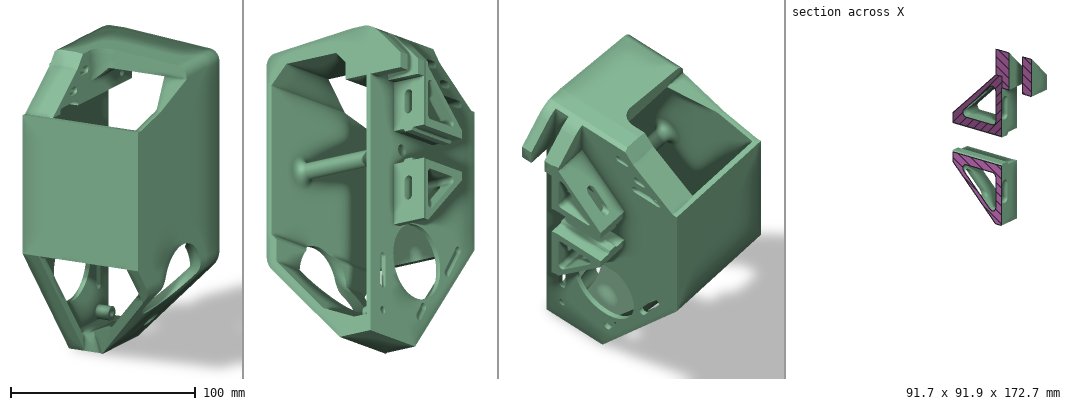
import cadquery as cq
import math


depth = 91.9
height = 172.7
right_x = 71.2
hook_reach = 20.5
plate_thickness = 2.8
overshoot = 1.7

foot_y = -39.5
front_wall_bottom = 66.7
front_wall_top = 144.7
brow_y, brow_z = -61.1, 165.3
roof_corner_y = -54.8
shoulder_y = -89.1

front_wall_thickness = 3.3
upper_flange_x = 17.1
lower_flange_x = 9.7
lower_flange_width = 5.5
roof_underside = 160.8
roof_edge_y = -37.1
roof_corner_radius = 9.7
right_wall_inner_x = 67.9
lower_wall_inner_x = 64.3
lower_corner_radius = 12.1
upper_corner_radius = 6.2
roof_fold_x = 12.3
roof_end_z = 167.7
roof_chamfer = 6.2
right_wall_chamfer = 10.4
right_wall_fold_y, right_wall_fold_z = -66.2, 150.0

floor_toe_x = 21.0
floor_thickness = 9.7
floor_flat_end_x = 11.0
bend_x, bend_z = 32.1, 18.3
floor_top_z = bend_z + lower_wall_inner_x - bend_x
floor_bend = (bend_x, -52.0, bend_z)
floor_edge_top = (lower_wall_inner_x, -75.5, floor_top_z)
floor_edge_lean = (1, 0, -1)
toe_edge_start = (15.0, foot_y, 12.0)
toe_edge_lean = (2.4, 0, -6.9)

big_hole_diameter = 41.5
big_hole_y, big_hole_z = -41.0, 48.2
post_diameter = 9.0
post_flare = 4.8
post_hole_diameter = 6.5
post_y, post_z = -27.8, 108.0
screw_diameter = 4.1
screw_y = -11.0
lower_screw_z, upper_screw_z = 14.0, 150.6
screw_boss_diameter = 8.0
screw_boss_end_x = 10.9
slot_width = 4.3
slot_ends = [
    ((-51.1, 162.7), (-56.0, 162.7)),
    ((-63.7, 154.0), (-67.5, 154.0)),
    ((-62.7, 145.6), (-78.5, 145.6)),
    ((-11.2, 44.4), (-11.2, 28.8)),
    ((-77.4, 63.0), (-67.7, 48.2)),
    ((-47.0, 24.2), (-42.8, 17.8)),
]

bracket_back_y, bracket_front_y = -20.9, -55.0
bracket_setback = 0.5
bracket_lip_width = 2.5
bracket_base_gap = 9.3
bracket_base_z = post_z + bracket_base_gap
bracket_base_height = 4.8
bracket_height = 34.0
bracket_wall = 4.3
bracket_base_wall = 4.7
bracket_slope_wall = 3.0
pocket_radius = 2.2
ridge_x = -9.8
ridge_height = 1.5
ridge_base_width, ridge_top_width = 6.5, 4.5
bracket_slot_width, bracket_slot_length = 5.2, 13.5
bracket_slot_height = 15.0

hook_ranges = [(-6.5, 0.0), (bracket_back_y - bracket_wall, -15.7)]
hook_bottom = 144.7
hook_slope_start = 153.4
hook_arc_x, hook_arc_z = -6.4, 167.4


def prism_along_x(points, x_from, x_to):
    """Solid with a (Y, Z) outline, running from x_from to x_to."""
    return cq.Workplane("YZ", origin=(x_from, 0, 0)).polyline(points).close().extrude(x_to - x_from)


def rod_along_x(diameter, y, z, x_from, x_to):
    """Round rod along X."""
    return cq.Workplane("YZ", origin=(x_from, y, z)).circle(diameter / 2).extrude(x_to - x_from)


def block(x_from, x_to, y_from, y_to, z_from, z_to):
    """Box between the given limits."""
    shape = cq.Workplane("XY").box(x_to - x_from, y_to - y_from, z_to - z_from, centered=False)
    return shape.translate((x_from, y_from, z_from))


def side_slots():
    """Cutters for the slots through the plate and the flanges behind it."""
    cutters = cq.Workplane("YZ")
    for (y1, z1), (y2, z2) in slot_ends:
        length = math.hypot(y2 - y1, z2 - z1) + slot_width
        angle = math.degrees(math.atan2(z2 - z1, y2 - y1))
        slot = (
            cq.Workplane("YZ", origin=(-overshoot, (y1 + y2) / 2, (z1 + z2) / 2))
            .slot2D(length, slot_width, angle)
            .extrude(upper_flange_x + 2 * overshoot)
        )
        cutters = cutters.add(slot)
    return cutters.combine()


side_outline = [
    (0, 0),
    (foot_y, 0),
    (-depth, front_wall_bottom),
    (-depth, front_wall_top),
    (shoulder_y, front_wall_top),
    (brow_y, brow_z),
    (roof_corner_y, height),
    (0, height),
]

big_hole = rod_along_x(big_hole_diameter, big_hole_y, big_hole_z, -overshoot, right_x + overshoot)
upper_screw_hole = rod_along_x(screw_diameter, screw_y, upper_screw_z, -overshoot, upper_flange_x + overshoot)


def lip_relief():
    """Cutter that sets the outer faces in front of the bracket lip slightly back."""
    outline = [
        (-hook_reach, bracket_back_y),
        (bracket_setback - hook_reach, bracket_back_y - bracket_lip_width),
        (bracket_setback - hook_reach, -depth),
        (-hook_reach, -depth),
    ]
    return cq.Workplane("XY").polyline(outline).close().extrude(height)


def make_bracket_blank():
    """Upper bracket as a full triangular block with its lip, before the pocket and slot."""
    profile = [
        (bracket_back_y, bracket_base_z),
        (bracket_front_y, bracket_base_z),
        (bracket_front_y, bracket_base_z + bracket_base_height),
        (bracket_back_y - bracket_wall, bracket_base_z + bracket_height),
        (bracket_back_y, bracket_base_z + bracket_height),
    ]
    return prism_along_x(profile, -hook_reach, 0).cut(lip_relief())


def make_bracket():
    """Upper bracket: triangular pocket open along X, slot along Y and a ridge under the base."""
    back = bracket_back_y - bracket_wall
    floor = bracket_base_z + bracket_base_wall
    rise = (bracket_height - bracket_base_height) / (back - bracket_front_y)
    slope_drop = bracket_slope_wall * math.hypot(1, rise)
    pocket_top = bracket_base_z + bracket_height - slope_drop
    pocket_front = back - (pocket_top - floor) / rise
    pocket = prism_along_x([(back, floor), (pocket_front, floor), (back, pocket_top)], -hook_reach, 0)
    pocket = pocket.edges("|X").fillet(pocket_radius)

    slot = (
        cq.Workplane("XZ", origin=(ridge_x, 0, bracket_base_z + bracket_slot_height))
        .slot2D(bracket_slot_length, bracket_slot_width, 90)
        .extrude(depth)
    )
    ridge_outline = [
        (ridge_x - ridge_base_width / 2, bracket_base_z),
        (ridge_x - ridge_top_width / 2, bracket_base_z - ridge_height),
        (ridge_x + ridge_top_width / 2, bracket_base_z - ridge_height),
        (ridge_x + ridge_base_width / 2, bracket_base_z),
    ]
    ridge = (
        cq.Workplane("XZ", origin=(0, bracket_back_y, 0))
        .polyline(ridge_outline)
        .close()
        .extrude(bracket_back_y - bracket_front_y)
    )
    return make_bracket_blank().cut(pocket).cut(slot).union(ridge)


def make_plate():
    """Side plate with two hooks, a rounded top edge and the boss of the lower screw."""
    hook_section = (
        cq.Workplane("XZ")
        .moveTo(plate_thickness, 0)
        .lineTo(-hook_reach, 0)
        .lineTo(-hook_reach, hook_slope_start)
        .lineTo(hook_arc_x, hook_arc_z)
        .tangentArcPoint((plate_thickness, height), relative=False)
        .close()
        .extrude(depth)
    )
    plate = prism_along_x(side_outline, 0, plate_thickness)
    for y_from, y_to in hook_ranges:
        plate = plate.union(block(-hook_reach, plate_thickness, y_from, y_to, hook_bottom, height))
    plate = plate.intersect(hook_section).cut(lip_relief()).cut(make_bracket_blank())

    boss = rod_along_x(screw_boss_diameter, screw_y, lower_screw_z, plate_thickness, screw_boss_end_x)
    screw_hole = rod_along_x(screw_diameter, screw_y, lower_screw_z, -overshoot, screw_boss_end_x + overshoot)
    post_hole = rod_along_x(post_hole_diameter, post_y, post_z, -overshoot, plate_thickness)
    plate = plate.union(boss).cut(screw_hole).cut(post_hole).cut(upper_screw_hole)
    return plate.cut(big_hole).cut(side_slots())


def housing_block():
    """Outer shape of the housing: its X-Z section over the full depth."""
    floor_corner_z = right_x - floor_toe_x
    section = [
        (plate_thickness, 0),
        (floor_toe_x, 0),
        (right_x, floor_corner_z),
        (right_x, roof_end_z),
        (roof_fold_x, height),
        (plate_thickness, height),
    ]
    shape = cq.Workplane("XZ").polyline(section).close().extrude(depth)
    lower_corner = cq.NearestToPointSelector((right_x, -depth / 2, floor_corner_z))
    upper_corner = cq.NearestToPointSelector((right_x, -depth / 2, roof_end_z))
    shape = shape.edges(lower_corner).fillet(lower_corner_radius)
    return shape.edges(upper_corner).fillet(upper_corner_radius)


def housing_cavity():
    """Inside of the housing, open at the back and closed by the front wall."""
    wall_step = right_wall_inner_x - lower_wall_inner_x
    section = [
        (plate_thickness, floor_thickness),
        (floor_flat_end_x, floor_thickness),
        (bend_x, bend_z),
        (lower_wall_inner_x, floor_top_z),
        (lower_wall_inner_x, front_wall_bottom - wall_step),
        (right_wall_inner_x, front_wall_bottom),
        (right_wall_inner_x, roof_underside - right_wall_chamfer),
        (right_wall_inner_x - right_wall_chamfer, roof_underside),
        (upper_flange_x + roof_chamfer, roof_underside),
        (upper_flange_x, roof_underside - roof_chamfer),
        (upper_flange_x, front_wall_top),
        (plate_thickness, front_wall_top),
    ]
    return cq.Workplane("XZ").polyline(section).close().extrude(depth - front_wall_thickness)


def roof_opening():
    """Cutter in front of the roof, between the upper flange and the right wall."""
    opening = block(
        upper_flange_x,
        right_wall_inner_x - right_wall_chamfer,
        -depth - overshoot,
        roof_edge_y,
        front_wall_top,
        height + overshoot,
    )
    return opening.edges("|Z and <X and >Y").fillet(roof_corner_radius)


def right_wall_slope():
    """Cutter that slopes the top of the right wall from the roof down to the front wall."""
    outline = [
        (roof_edge_y, height + overshoot),
        (roof_edge_y, roof_underside),
        (right_wall_fold_y, right_wall_fold_z),
        (front_wall_thickness - depth, front_wall_top),
        (-depth - overshoot, front_wall_top),
        (-depth - overshoot, height + overshoot),
    ]
    return prism_along_x(outline, right_wall_inner_x - right_wall_chamfer, right_x + overshoot)


def half_space(start, end, lean):
    """Large solid in front of the plane through the edge from start to end that runs along lean."""
    plane = cq.Plane(origin=start, xDir=(0, -1, 0), normal=lean)
    along = plane.toLocalCoords(cq.Vector(*end)).normalized() * height
    outline = [
        (-along.x, -along.y),
        (along.x, along.y),
        (along.x + height, along.y),
        (height - along.x, -along.y),
    ]
    return cq.Workplane(plane).polyline(outline).close().extrude(height, both=True)


def floor_opening():
    """Cutter below the front wall that leaves the floor with its two slanting front edges."""
    opening = block(
        lower_flange_x, lower_wall_inner_x, -depth - overshoot, foot_y, -overshoot, front_wall_bottom
    )
    floor_edge = half_space(floor_bend, floor_edge_top, floor_edge_lean)
    toe_edge = half_space(toe_edge_start, floor_bend, toe_edge_lean)
    return opening.intersect(floor_edge.union(toe_edge))


def make_post():
    """Post from the plate to the right wall, flared where it meets the wall."""
    radius = post_diameter / 2
    return (
        cq.Workplane("XY")
        .moveTo(plate_thickness, 0)
        .lineTo(plate_thickness, radius)
        .lineTo(right_wall_inner_x - post_flare, radius)
        .tangentArcPoint((right_wall_inner_x, radius + post_flare), relative=False)
        .lineTo(right_wall_inner_x, 0)
        .close()
        .revolve(360, (0, 0, 0), (1, 0, 0))
        .translate((0, post_y, post_z))
    )


def make_housing():
    """Housing: roof, right wall, front wall, floor and flanges, with the post inside."""
    housing = housing_block().cut(housing_cavity())
    flange_outline = [
        (foot_y, 0),
        (-depth, front_wall_bottom),
        (-depth + lower_flange_width, front_wall_bottom),
        (foot_y + lower_flange_width, 0),
    ]
    flange = prism_along_x(flange_outline, plate_thickness, lower_flange_x)
    housing = housing.union(flange).cut(roof_opening()).cut(right_wall_slope()).cut(floor_opening())

    slant = [(foot_y, 0), (-depth, front_wall_bottom), (-depth, 0)]
    housing = housing.cut(prism_along_x(slant, plate_thickness, lower_flange_x))
    housing = housing.cut(prism_along_x(slant, lower_wall_inner_x, right_x + overshoot))

    brow = side_outline[3:7] + [(-depth, height)]
    housing = housing.cut(prism_along_x(brow, plate_thickness, upper_flange_x))

    access = rod_along_x(screw_boss_diameter, screw_y, lower_screw_z, screw_boss_end_x, right_x)
    housing = housing.union(make_post()).cut(access).cut(upper_screw_hole).cut(big_hole)
    return housing.cut(side_slots())


plate = make_plate()
housing = make_housing()

brackets = []
for mirrored in (False, True):
    bracket = make_bracket()
    if mirrored:
        bracket = bracket.mirror("XY", (0, 0, post_z))
    brackets.append(bracket.solids().val())

result = cq.Compound.makeCompound([housing.solids().val(), plate.solids().val(), *brackets])